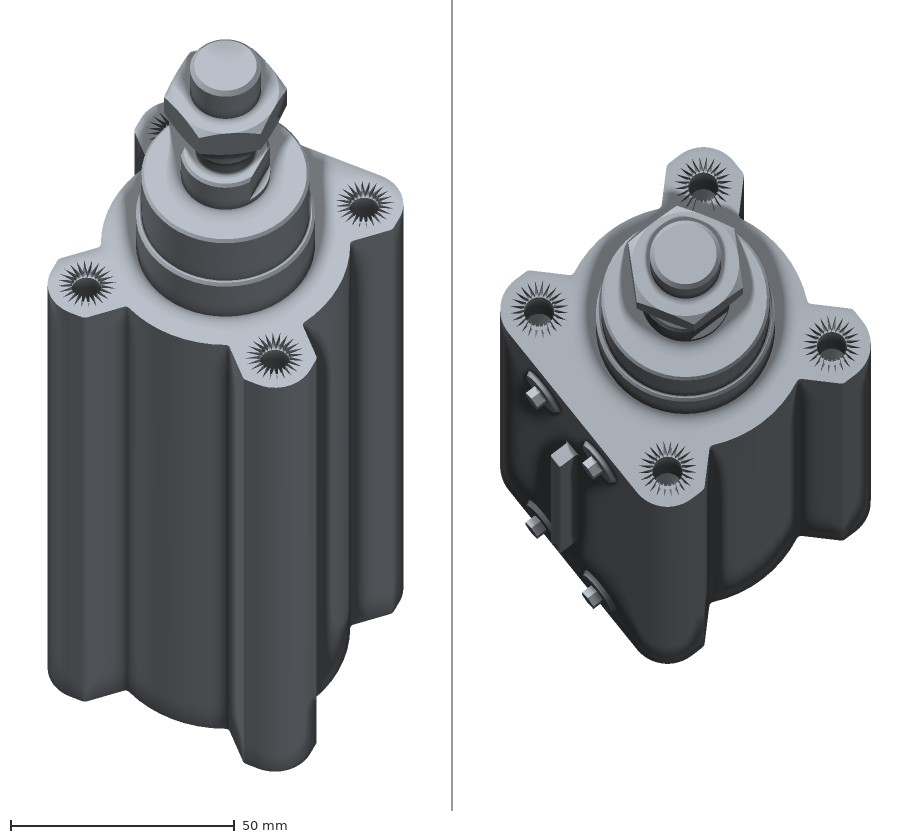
import cadquery as cq
import math

HEX_SIDES = 6
MATCH_TOLERANCE = 0.02

TOTAL_HEIGHT = 217.8
BARREL_BOTTOM = 4.5
BARREL_TOP = 150.0
COLLAR_STEP = 162.0
COLLAR_TOP = 176.9
BARREL_LENGTH = BARREL_TOP - BARREL_BOTTOM
BARREL_MIDDLE = (BARREL_BOTTOM + BARREL_TOP) / 2

SECTION_SIZE = 64.0
SECTION_HALF = SECTION_SIZE / 2
BARREL_DIAMETER = 55.8
LOBE_RADIUS = 8.7
LOBE_WIDTH = 2 * LOBE_RADIUS
LOBE_CENTRE = SECTION_HALF - LOBE_RADIUS
FLAT_SIDE_WIDTH = 2 * LOBE_CENTRE
LOBE_EDGE_ROUND = 1.5
NOTCH_ROUND = 1.0

BOSS_DIAMETER = 40.0
UPPER_COLLAR_DIAMETER = 37.7
COLLAR_CHAMFER = 0.7

SCREW_HOLE_DIAMETER = 6.8
SCREW_HOLE_DEPTH = 17.5
DRILL_POINT_ANGLE = 118.0
SERRATION_DIAMETER = 13.3
SERRATION_DEPTH = 2.2
SERRATION_COUNT = 24

RAIL_WIDTH = 3.5
RAIL_HEIGHT = 5.0
RAIL_LENGTH = 80.0
RAIL_EDGE_ROUND = 0.5
RAIL_ROOT_ROUND = 0.7

PLUG_OFFSET_X = 10.2
PLUG_END_DISTANCE = 12.9
PLUG_FLANGE_DIAMETER = 11.5
PLUG_FLANGE_TOP_DIAMETER = 10.2
PLUG_FLANGE_HEIGHT = 1.0
PLUG_HEX_FLATS = 4.1
PLUG_HEIGHT = 3.7

ROD_DIAMETER = 20.0
ROD_FLATS = 17.0
FLATS_BOTTOM = 178.4
SHOULDER_HEIGHT = 185.8
SHOULDER_CHAMFER = 0.7
UNDERCUT_DIAMETER = 13.3
THREAD_DIAMETER = 16.0
THREAD_BOTTOM = 191.5
UNDERCUT_CONE_ANGLE = 28.0
UNDERCUT_ROUND = 0.7
THREAD_TIP_DIAMETER = 14.0

NUT_FLATS = 24.0
NUT_THICKNESS = 8.0
NUT_BOTTOM = 200.4
NUT_CHAMFER_ANGLE = 30.0


def hexagon_across_corners(flats):
    return flats / math.cos(math.pi / HEX_SIDES)


def barrel():
    """Extruded barrel with lobes, rounded along its length."""
    plane = cq.Workplane("XY").workplane(offset=BARREL_BOTTOM)
    tube = plane.circle(BARREL_DIAMETER / 2).extrude(BARREL_LENGTH).rotate((0, 0, 0), (0, 0, 1), 90)
    square = plane.rect(SECTION_SIZE, SECTION_SIZE).extrude(BARREL_LENGTH).edges("|Z").fillet(LOBE_RADIUS)
    cross = plane.rect(2 * SECTION_SIZE, LOBE_WIDTH).extrude(BARREL_LENGTH)
    cross = cross.union(plane.rect(LOBE_WIDTH, 2 * SECTION_SIZE).extrude(BARREL_LENGTH))
    lobes = square.intersect(cross.rotate((0, 0, 0), (0, 0, 1), 45))
    flat_side = (
        plane.center(0, SECTION_HALF / 2).rect(FLAT_SIDE_WIDTH, SECTION_HALF).extrude(BARREL_LENGTH)
    )
    body = tube.union(lobes).union(flat_side).clean()

    def is_notch_corner(edge):
        centre = edge.Center()
        return abs(math.hypot(centre.x, centre.y) - BARREL_DIAMETER / 2) < MATCH_TOLERANCE

    def is_lobe_edge(edge):
        centre = edge.Center()
        reach = max(abs(centre.x), abs(centre.y))
        inset = min(abs(centre.x), abs(centre.y))
        return abs(reach - SECTION_HALF) < MATCH_TOLERANCE and inset < LOBE_CENTRE - MATCH_TOLERANCE

    body = body.edges("|Z").filter(is_notch_corner).fillet(NOTCH_ROUND)
    return body.edges("|Z").filter(is_lobe_edge).fillet(LOBE_EDGE_ROUND)


def boss_and_collar():
    """Turned end boss and stepped collar as one shaft through the barrel."""
    boss = cq.Workplane("XY").circle(BOSS_DIAMETER / 2).extrude(COLLAR_STEP)
    boss = boss.faces("<Z or >Z").chamfer(COLLAR_CHAMFER)
    upper = cq.Workplane("XY").circle(UPPER_COLLAR_DIAMETER / 2).extrude(COLLAR_TOP)
    return boss.union(upper.faces(">Z").chamfer(COLLAR_CHAMFER))


def screw_hole():
    """Blind corner hole with a drill point and a star-shaped ring of V teeth around its mouth."""
    hole_radius = SCREW_HOLE_DIAMETER / 2
    hole_bottom = BARREL_TOP - SCREW_HOLE_DEPTH
    point_depth = hole_radius / math.tan(math.radians(DRILL_POINT_ANGLE / 2))
    profile = [
        (0, BARREL_TOP),
        (hole_radius, BARREL_TOP),
        (hole_radius, hole_bottom),
        (0, hole_bottom - point_depth),
    ]
    hole = cq.Workplane("XZ").polyline(profile).close().revolve(360, (0, 0, 0), (0, 1, 0))
    tooth_half_angle = math.pi / SERRATION_COUNT
    star = []
    for corner in range(2 * SERRATION_COUNT):
        radius = hole_radius if corner % 2 else SERRATION_DIAMETER / 2
        angle = corner * tooth_half_angle
        star.append((radius * math.cos(angle), radius * math.sin(angle)))
    mouth = cq.Workplane("XY", origin=(0, 0, BARREL_TOP)).polyline(star).close().extrude(-SERRATION_DEPTH)
    return hole.union(mouth)


def rail():
    """Straight rail with rounded outer edges and a flared root."""
    half_width = RAIL_WIDTH / 2
    root_half_width = half_width + RAIL_ROOT_ROUND
    root = cq.Workplane("XY", origin=(0, SECTION_HALF, BARREL_MIDDLE - RAIL_LENGTH / 2))
    bar = (
        root.moveTo(-root_half_width, 0)
        .lineTo(root_half_width, 0)
        .radiusArc((half_width, RAIL_ROOT_ROUND), RAIL_ROOT_ROUND)
        .lineTo(half_width, RAIL_HEIGHT)
        .lineTo(-half_width, RAIL_HEIGHT)
        .lineTo(-half_width, RAIL_ROOT_ROUND)
        .radiusArc((-root_half_width, 0), RAIL_ROOT_ROUND)
        .close()
        .extrude(RAIL_LENGTH)
    )
    return bar.faces(">Y").edges("|Z").fillet(RAIL_EDGE_ROUND)


def plug():
    """Tapered round flange with a hexagon head, pointing to +Y."""
    base_radius = PLUG_FLANGE_DIAMETER / 2
    top_radius = PLUG_FLANGE_TOP_DIAMETER / 2
    profile = [(0, 0), (base_radius, 0), (top_radius, PLUG_FLANGE_HEIGHT), (0, PLUG_FLANGE_HEIGHT)]
    flange = cq.Workplane("XY").polyline(profile).close().revolve(360, (0, 0, 0), (0, 1, 0))
    head = (
        cq.Workplane("XZ")
        .transformed(rotate=(0, 0, 90))
        .polygon(HEX_SIDES, hexagon_across_corners(PLUG_HEX_FLATS))
        .extrude(-PLUG_HEIGHT)
    )
    return flange.union(head)


def make_housing():
    housing = barrel().union(boss_and_collar())
    for x in (-LOBE_CENTRE, LOBE_CENTRE):
        for y in (-LOBE_CENTRE, LOBE_CENTRE):
            housing = housing.cut(screw_hole().translate((x, y, 0)))
    housing = housing.union(rail())
    for x in (-PLUG_OFFSET_X, PLUG_OFFSET_X):
        for z in (BARREL_BOTTOM + PLUG_END_DISTANCE, BARREL_TOP - PLUG_END_DISTANCE):
            housing = housing.union(plug().translate((x, SECTION_HALF, z)))
    return housing


def make_piston_rod():
    """Turned rod standing on the collar, with thread, undercut and two wrench flats."""
    rod_radius = ROD_DIAMETER / 2
    undercut_radius = UNDERCUT_DIAMETER / 2
    thread_radius = THREAD_DIAMETER / 2
    tip_radius = THREAD_TIP_DIAMETER / 2
    cone_length = (thread_radius - undercut_radius) / math.tan(math.radians(UNDERCUT_CONE_ANGLE))
    rod = (
        cq.Workplane("XZ")
        .moveTo(0, COLLAR_TOP)
        .lineTo(rod_radius, COLLAR_TOP)
        .lineTo(rod_radius, SHOULDER_HEIGHT - SHOULDER_CHAMFER)
        .lineTo(rod_radius - SHOULDER_CHAMFER, SHOULDER_HEIGHT)
        .lineTo(undercut_radius + UNDERCUT_ROUND, SHOULDER_HEIGHT)
        .radiusArc((undercut_radius, SHOULDER_HEIGHT + UNDERCUT_ROUND), UNDERCUT_ROUND)
        .lineTo(undercut_radius, THREAD_BOTTOM - cone_length)
        .lineTo(thread_radius, THREAD_BOTTOM)
        .lineTo(thread_radius, TOTAL_HEIGHT - (thread_radius - tip_radius))
        .lineTo(tip_radius, TOTAL_HEIGHT)
        .lineTo(0, TOTAL_HEIGHT)
        .close()
        .revolve(360, (0, 0, 0), (0, 1, 0))
    )
    flats_height = SHOULDER_HEIGHT - FLATS_BOTTOM
    cutter = cq.Workplane("XY").rect(ROD_DIAMETER, ROD_DIAMETER).extrude(flats_height)
    for side in (-1, 1):
        rod = rod.cut(cutter.translate((side * (ROD_FLATS + ROD_DIAMETER) / 2, 0, FLATS_BOTTOM)))
    return rod


def make_nut():
    """Hexagon lock nut with both faces chamfered, bored to fit the rod thread."""
    corner_radius = hexagon_across_corners(NUT_FLATS) / 2
    face_radius = NUT_FLATS / 2
    bore_radius = THREAD_DIAMETER / 2
    chamfer_drop = (corner_radius - face_radius) * math.tan(math.radians(NUT_CHAMFER_ANGLE))
    hexagon = (
        cq.Workplane("XY")
        .transformed(rotate=(0, 0, 90))
        .polygon(HEX_SIDES, 2 * corner_radius)
        .extrude(NUT_THICKNESS)
    )
    profile = [
        (bore_radius, 0),
        (face_radius, 0),
        (corner_radius, chamfer_drop),
        (corner_radius, NUT_THICKNESS - chamfer_drop),
        (face_radius, NUT_THICKNESS),
        (bore_radius, NUT_THICKNESS),
    ]
    turned = cq.Workplane("XZ").polyline(profile).close().revolve(360, (0, 0, 0), (0, 1, 0))
    return hexagon.intersect(turned).translate((0, 0, NUT_BOTTOM))


housing = make_housing()
piston_rod = make_piston_rod()
nut = make_nut()

result = cq.Compound.makeCompound([housing.val(), piston_rod.val(), nut.val()])